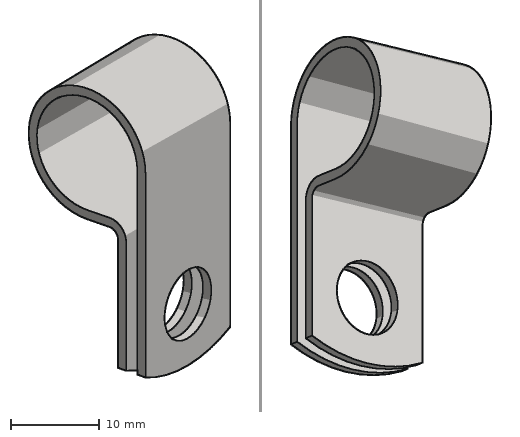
import cadquery as cq

height = 36.05
width = 15.85
thickness = 1.2
loop_radius = 8.35
leg_gap = 1.6
bend_inner_radius = 1.2
hole_diameter = 8.72
hole_drop = 28.2
end_sag = 1.7

loop_inner_radius = loop_radius - thickness
bend_outer_radius = bend_inner_radius + thickness
bottom = loop_radius - height
short_leg_right = loop_inner_radius - leg_gap
short_leg_left = short_leg_right - thickness
bend_x = short_leg_right - bend_outer_radius
bend_z = -loop_inner_radius - bend_outer_radius
half_width = width / 2


def bent_strip():
    """Constant-thickness strip: long leg, three-quarter loop, bend, short leg."""
    return (
        cq.Workplane("XZ")
        .moveTo(loop_radius, bottom)
        .lineTo(loop_radius, 0)
        .threePointArc((0, loop_radius), (-loop_radius, 0))
        .radiusArc((0, -loop_radius), -loop_radius)
        .lineTo(bend_x, -loop_radius)
        .radiusArc((short_leg_left, bend_z), bend_inner_radius)
        .lineTo(short_leg_left, bottom)
        .lineTo(short_leg_right, bottom)
        .lineTo(short_leg_right, bend_z)
        .radiusArc((bend_x, -loop_inner_radius), -bend_outer_radius)
        .lineTo(0, -loop_inner_radius)
        .radiusArc((-loop_inner_radius, 0), loop_inner_radius)
        .threePointArc((0, loop_inner_radius), (loop_inner_radius, 0))
        .lineTo(loop_inner_radius, bottom)
        .close()
        .extrude(half_width, both=True)
    )


def rounded_end_envelope():
    """Block around the strip whose underside is the arc of the leg ends."""
    return (
        cq.Workplane("YZ")
        .moveTo(-half_width, loop_radius)
        .lineTo(-half_width, bottom + end_sag)
        .threePointArc((0, bottom), (half_width, bottom + end_sag))
        .lineTo(half_width, loop_radius)
        .close()
        .extrude(loop_radius, both=True)
    )


def screw_hole():
    """Cylinder through both legs."""
    return (
        cq.Workplane("YZ")
        .center(0, loop_radius - hole_drop)
        .circle(hole_diameter / 2)
        .extrude(loop_radius)
    )


result = bent_strip().intersect(rounded_end_envelope()).cut(screw_hole())